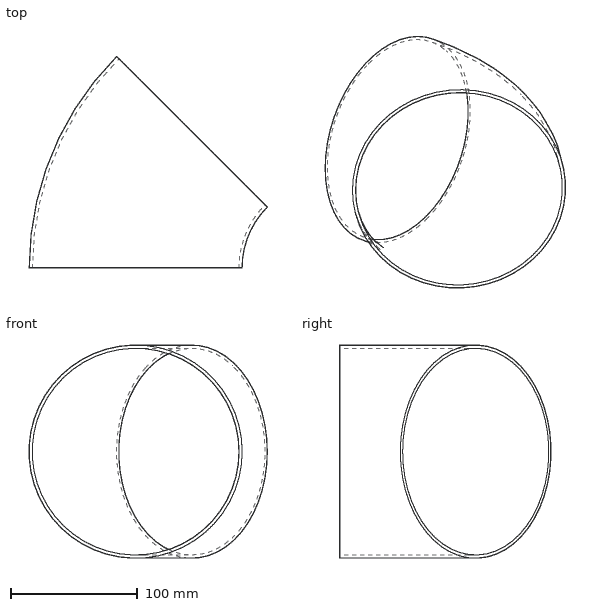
import cadquery as cq

OUTER_DIAMETER = 168.3
WALL_THICKNESS = 2.6
BEND_RADIUS = 152.0
BEND_ANGLE = 45.0

outer_radius = OUTER_DIAMETER / 2
inner_radius = outer_radius - WALL_THICKNESS


def make_elbow():
    """Revolve the pipe's ring section about a Z-parallel axis on its +X side."""
    ring = cq.Workplane("XZ").circle(outer_radius).circle(inner_radius)
    axis_start = (BEND_RADIUS, 0)
    axis_end = (BEND_RADIUS, -1)
    return ring.revolve(BEND_ANGLE, axis_start, axis_end)


result = make_elbow()